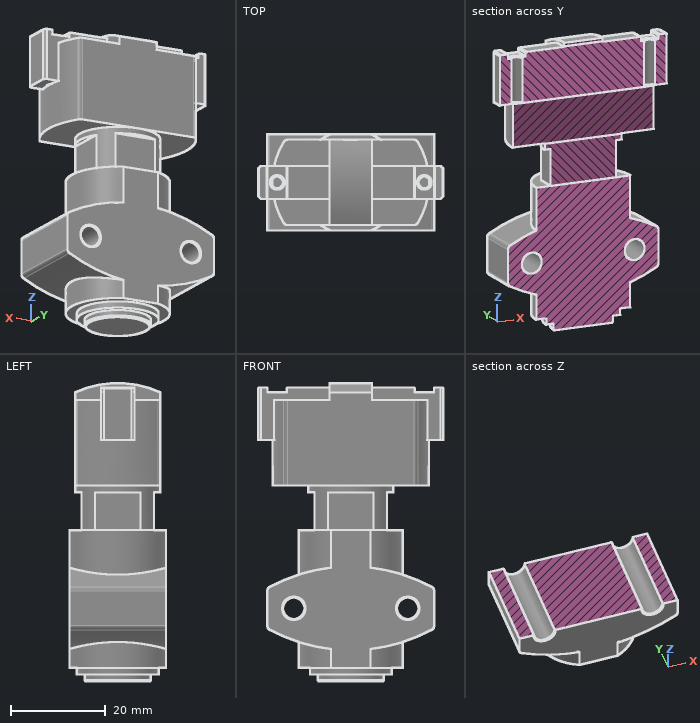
import cadquery as cq

total_height = 62.92
housing_bottom_z = 2.9
housing_height = 29.0
housing_top_z = housing_bottom_z + housing_height
collar_bottom_z = 39.9
head_bottom_z = 41.3
shoulder_z = 59.3
strap_edge_z = 60.95
bar_bottom_z = 50.9
bar_top_z = 62.0
bar_recess_z = 61.0

housing_diameter = 22.0
housing_depth = 20.35
flange_length = 35.2
flange_center_offset = 12.55
flange_center_z = housing_bottom_z + flange_center_offset
flange_mid_half_height = 8.8
flange_end_half_height = 4.25
flange_corner_radius = 1.0
mount_hole_diameter = 4.5
mount_hole_spacing = 24.0
mount_hole_chamfer = 0.2

tail_diameter = 17.3
tip_diameter = 14.0
tip_height = 1.5
tip_chamfer = 0.3

neck_diameter = 18.0
neck_across_flats = 15.3

head_diameter = 33.0
head_depth = 18.0
head_corner_radius = 1.0
strap_width = 9.0

bar_length = 39.0
bar_width = 7.0
bar_corner_chamfer = 0.6
bar_top_chamfer = 0.2
lip_length = 2.0
recess_length = 4.0
screw_hole_diameter = 2.46
screw_hole_chamfer = 0.3
screw_hole_spacing = 31.0


def box_between(length, depth, bottom_z, top_z):
    """Block centred on the Z axis between two heights."""
    return (
        cq.Workplane("XY", origin=(0, 0, bottom_z))
        .rect(length, depth)
        .extrude(top_z - bottom_z)
    )


def cylinder_between(diameter, bottom_z, top_z):
    """Cylinder on the Z axis between two heights."""
    return (
        cq.Workplane("XY", origin=(0, 0, bottom_z))
        .circle(diameter / 2)
        .extrude(top_z - bottom_z)
    )


def make_flange():
    """Lens-shaped flange with flat ends."""
    half_length = flange_length / 2
    return (
        cq.Workplane("XZ", origin=(0, housing_depth / 2, flange_center_z))
        .moveTo(-half_length, flange_end_half_height)
        .threePointArc((0, flange_mid_half_height), (half_length, flange_end_half_height))
        .lineTo(half_length, -flange_end_half_height)
        .threePointArc((0, -flange_mid_half_height), (-half_length, -flange_end_half_height))
        .close()
        .extrude(housing_depth)
        .edges("|Y")
        .fillet(flange_corner_radius)
    )


def make_tail():
    """Two round steps below the barrel, the lower one chamfered."""
    tip = cylinder_between(tip_diameter, 0, tip_height).faces("<Z").chamfer(tip_chamfer)
    return tip.union(cylinder_between(tail_diameter, tip_height, housing_bottom_z))


def make_housing():
    """Flatted barrel with the flange, the tail and two mounting holes along Y."""
    barrel = cylinder_between(housing_diameter, housing_bottom_z, housing_top_z)
    barrel = barrel.intersect(
        box_between(housing_diameter, housing_depth, housing_bottom_z, housing_top_z)
    )
    mount_holes = (
        cq.Workplane("XZ", origin=(0, housing_depth / 2, flange_center_z))
        .rarray(mount_hole_spacing, 1, 2, 1)
        .circle(mount_hole_diameter / 2)
        .extrude(housing_depth)
    )
    drilled = barrel.union(make_flange()).cut(mount_holes)
    hole_rims = drilled.faces("<Y or >Y").edges("%CIRCLE").edges(
        cq.selectors.RadiusNthSelector(1)
    )
    return hole_rims.chamfer(mount_hole_chamfer).union(make_tail())


def make_neck():
    """Square neck with round corners, topped by a round collar."""
    neck = cylinder_between(neck_diameter, housing_top_z, collar_bottom_z).intersect(
        box_between(neck_across_flats, neck_across_flats, housing_top_z, collar_bottom_z)
    )
    return neck.union(cylinder_between(neck_diameter, collar_bottom_z, head_bottom_z))


def make_strap():
    """Raised band over the bar, with an arched top."""
    half_depth = head_depth / 2
    return (
        cq.Workplane("YZ", origin=(-strap_width / 2, 0, 0))
        .moveTo(-half_depth, shoulder_z)
        .lineTo(-half_depth, strap_edge_z)
        .threePointArc((0, total_height), (half_depth, strap_edge_z))
        .lineTo(half_depth, shoulder_z)
        .close()
        .extrude(strap_width)
    )


def make_head():
    """Round-ended head with the strap on top and a slot along X for the bar."""
    block = cylinder_between(head_diameter, head_bottom_z, shoulder_z).intersect(
        box_between(head_diameter, head_depth, head_bottom_z, shoulder_z)
    )
    block = block.edges("|Z").fillet(head_corner_radius)
    bar_slot = box_between(bar_length, bar_width, bar_bottom_z, bar_top_z)
    return block.union(make_strap()).cut(bar_slot)


def make_screw_drills():
    """Cutters for the screw holes, each with a flared mouth at the recess floor."""
    bore_radius = screw_hole_diameter / 2
    mouth_radius = bore_radius + screw_hole_chamfer
    drills = cq.Workplane("XY")
    for side in (-1, 1):
        drill = (
            cq.Workplane("XZ", origin=(side * screw_hole_spacing / 2, 0, 0))
            .moveTo(0, bar_bottom_z)
            .lineTo(bore_radius, bar_bottom_z)
            .lineTo(bore_radius, bar_recess_z - screw_hole_chamfer)
            .lineTo(mouth_radius, bar_recess_z)
            .lineTo(0, bar_recess_z)
            .close()
            .revolve(360, (0, 0), (0, 1))
        )
        drills = drills.add(drill)
    return drills.combine()


def make_bar():
    """Bar through the head, with a lip, recess and screw hole at each end."""
    bar = box_between(bar_length, bar_width, bar_bottom_z, bar_top_z)
    bar = bar.edges("|Z").chamfer(bar_corner_chamfer)
    recess_center_x = bar_length / 2 - lip_length - recess_length / 2
    for side in (-1, 1):
        recess = box_between(recess_length, bar_width, bar_recess_z, bar_top_z)
        bar = bar.cut(recess.translate((side * recess_center_x, 0, 0)))
    bar = bar.faces(">Z").edges("|Y").chamfer(bar_top_chamfer)
    return bar.cut(make_screw_drills())


housing = make_housing()
neck = make_neck()
head = make_head()
bar = make_bar()

result = cq.Compound.makeCompound([housing.val(), neck.val(), head.val(), bar.val()])